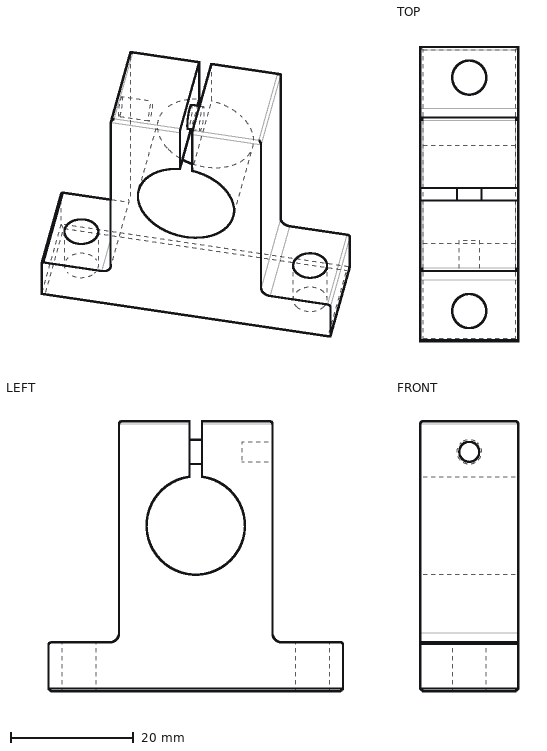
import cadquery as cq

width = 16.0
foot_length = 48.0
height = 44.0
foot_thickness = 8.0
column_depth = 25.0

bottom_chamfer = 0.5
top_rounding = 0.5
front_end_chamfer = 0.3
root_fillet = 1.5

bore_diameter = 16.0
bore_height = 27.0
slot_width = 2.0

screw_height = 39.0
screw_diameter = 4.0
screw_embed = 1.0
tapped_hole_diameter = 3.25
tapped_hole_depth = 5.0

mount_hole_diameter = 5.5
mount_hole_spacing = 38.0


def foot_top_edge(y):
    """Selector for the edge along X at the top of the foot, at the given Y."""
    return cq.NearestToPointSelector((0, y, foot_thickness))


def make_body():
    """Inverted-T block with rounded column roots and broken outer edges."""
    foot = cq.Workplane("XY").box(width, foot_length, foot_thickness, centered=(True, True, False))
    column = cq.Workplane("XY").box(width, column_depth, height, centered=(True, True, False))
    body = foot.union(column)

    for root_y in (-column_depth / 2, column_depth / 2):
        body = body.edges(foot_top_edge(root_y)).fillet(root_fillet)

    body = body.edges(foot_top_edge(-foot_length / 2)).chamfer(front_end_chamfer)
    body = body.edges(foot_top_edge(foot_length / 2)).fillet(top_rounding)

    body = body.faces(">Z").edges().fillet(top_rounding)
    return body.faces("<Z").edges().chamfer(bottom_chamfer)


def y_cylinder(diameter, y_start, length):
    """Cylinder on the screw axis, growing toward +Y from y_start."""
    return cq.Workplane(
        cq.Solid.makeCylinder(
            diameter / 2, length, cq.Vector(0, y_start, screw_height), cq.Vector(0, 1, 0)
        )
    )


def shaft_bore():
    """Through bore along X."""
    return (
        cq.Workplane("YZ")
        .center(0, bore_height)
        .circle(bore_diameter / 2)
        .extrude(width / 2, both=True)
    )


def clamp_slot():
    """Slit from the bore up through the top of the column."""
    slot_height = height - bore_height
    return (
        cq.Workplane("XY")
        .workplane(offset=bore_height)
        .box(width, slot_width, slot_height, centered=(True, True, False))
    )


def mounting_holes():
    """Vertical through holes, one in each end of the foot."""
    half_spacing = mount_hole_spacing / 2
    return (
        cq.Workplane("XY")
        .pushPoints([(0, -half_spacing), (0, half_spacing)])
        .circle(mount_hole_diameter / 2)
        .extrude(foot_thickness)
    )


shank_length = slot_width + 2 * screw_embed
screw_shank = y_cylinder(screw_diameter, -shank_length / 2, shank_length)
tapped_hole = y_cylinder(tapped_hole_diameter, -column_depth / 2, tapped_hole_depth)

result = (
    make_body()
    .cut(shaft_bore())
    .cut(clamp_slot())
    .cut(mounting_holes())
    .cut(tapped_hole)
    .union(screw_shank)
)